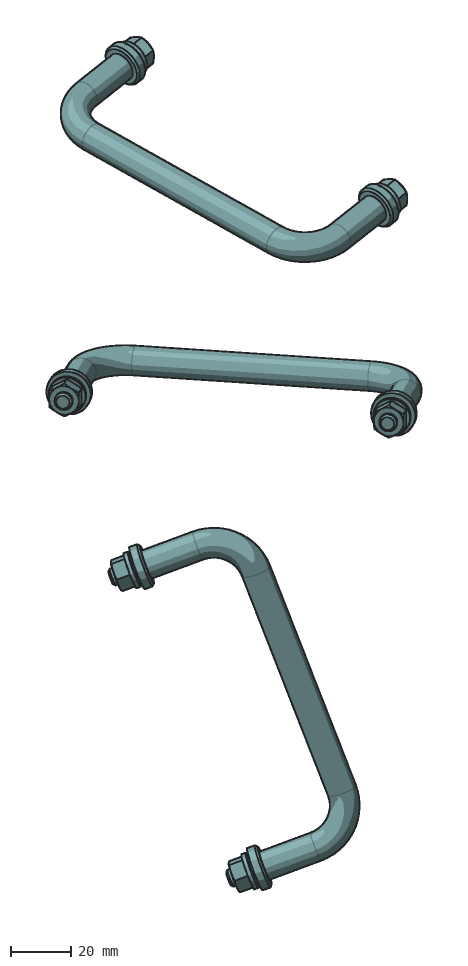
import cadquery as cq
import math

OVERALL_LENGTH = 125.0
OVERALL_DEPTH = 51.0

ROD_DIAMETER = 10.0
BEND_RADIUS = 15.0
STUD_DIAMETER = 6.0
STUD_LENGTH = 9.4
STUD_CHAMFER = 0.7

COLLAR_DIAMETER = 15.0
COLLAR_THICKNESS = 3.5
COLLAR_CHAMFER = 0.7

WASHER_DIAMETER = 12.5
WASHER_THICKNESS = 1.5
NUT_ACROSS_FLATS = 10.0
NUT_HEIGHT = 5.0
NUT_CHAMFER_ANGLE = 30.0
STUD_PROTRUSION = 1.9

leg_x = (OVERALL_LENGTH - COLLAR_DIAMETER) / 2
stud_tip_y = OVERALL_DEPTH / 2
grip_y = -OVERALL_DEPTH / 2 + ROD_DIAMETER / 2
collar_back_y = stud_tip_y - STUD_LENGTH
shoulder_y = collar_back_y - COLLAR_THICKNESS
nut_seat_y = stud_tip_y - STUD_PROTRUSION - NUT_HEIGHT
washer_seat_y = nut_seat_y - WASHER_THICKNESS


def leg_plane(x, y):
    """Workplane across a leg axis, with its normal along +Y."""
    return cq.Workplane(cq.Plane(origin=(x, y, 0), xDir=(1, 0, 0), normal=(0, 1, 0)))


def make_stud(x):
    """Threaded end, from the rod shoulder to the chamfered tip."""
    return (
        leg_plane(x, shoulder_y)
        .circle(STUD_DIAMETER / 2)
        .extrude(stud_tip_y - shoulder_y)
        .faces(">Y")
        .chamfer(STUD_CHAMFER)
    )


def make_handle():
    """Bent round rod with a reduced stud on each leg."""
    bend_start_y = grip_y + BEND_RADIUS
    bend_end_x = leg_x - BEND_RADIUS
    bend_mid_offset = BEND_RADIUS * math.sin(math.radians(45))
    bend_mid_x = bend_end_x + bend_mid_offset
    bend_mid_y = bend_start_y - bend_mid_offset
    centreline = (
        cq.Workplane("XY")
        .moveTo(-leg_x, shoulder_y)
        .lineTo(-leg_x, bend_start_y)
        .threePointArc((-bend_mid_x, bend_mid_y), (-bend_end_x, grip_y))
        .lineTo(bend_end_x, grip_y)
        .threePointArc((bend_mid_x, bend_mid_y), (leg_x, bend_start_y))
        .lineTo(leg_x, shoulder_y)
    )
    handle = leg_plane(-leg_x, shoulder_y).circle(ROD_DIAMETER / 2).sweep(centreline)
    for x in (-leg_x, leg_x):
        handle = handle.union(make_stud(x))
    return handle


def make_collar(x):
    """Spacer ring against the rod shoulder, chamfered on the grip side."""
    blank = (
        leg_plane(x, shoulder_y)
        .circle(COLLAR_DIAMETER / 2)
        .extrude(COLLAR_THICKNESS)
        .faces("<Y")
        .chamfer(COLLAR_CHAMFER)
    )
    bore = leg_plane(x, shoulder_y).circle(STUD_DIAMETER / 2).extrude(COLLAR_THICKNESS)
    return blank.cut(bore)


def make_washer(x):
    """Plain washer under the nut."""
    return (
        leg_plane(x, washer_seat_y)
        .circle(WASHER_DIAMETER / 2)
        .circle(STUD_DIAMETER / 2)
        .extrude(WASHER_THICKNESS)
    )


def make_nut(x):
    """Hex nut with corners along Z and a conical chamfer on its outer end."""
    corner_radius = NUT_ACROSS_FLATS / 2 / math.cos(math.radians(30))
    flat_radius = NUT_ACROSS_FLATS / 2
    chamfer_depth = (corner_radius - flat_radius) * math.tan(math.radians(NUT_CHAMFER_ANGLE))
    corners = [
        (corner_radius * math.sin(math.radians(60 * i)), corner_radius * math.cos(math.radians(60 * i)))
        for i in range(6)
    ]
    hexagon = (
        leg_plane(x, nut_seat_y)
        .polyline(corners)
        .close()
        .circle(STUD_DIAMETER / 2)
        .extrude(NUT_HEIGHT)
    )
    envelope = (
        leg_plane(x, nut_seat_y)
        .circle(corner_radius)
        .extrude(NUT_HEIGHT)
        .faces(">Y")
        .chamfer(chamfer_depth, corner_radius - flat_radius)
    )
    return hexagon.intersect(envelope)


handle = make_handle()
fasteners = []
for x in (-leg_x, leg_x):
    fasteners.append(make_collar(x).val())
    fasteners.append(make_washer(x).val())
    fasteners.append(make_nut(x).val())

result = cq.Compound.makeCompound([handle.val(), *fasteners])